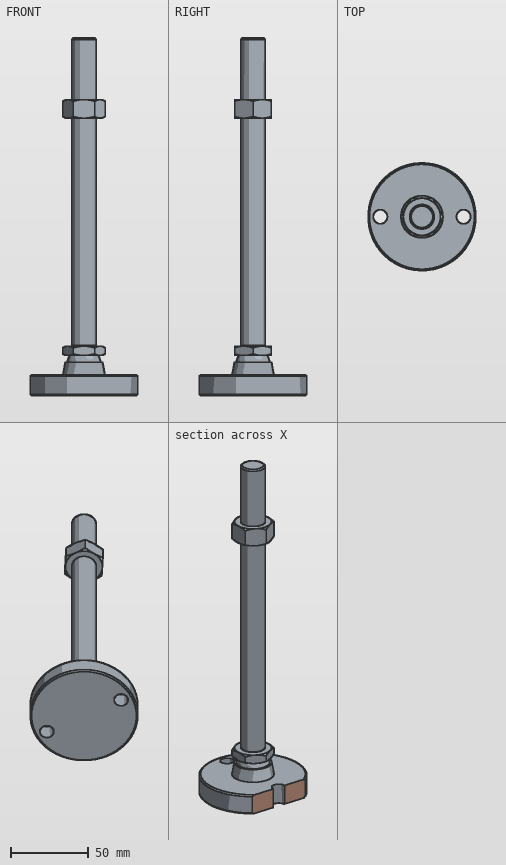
import cadquery as cq
import math

total_height = 232.0

plate_diameter = 70.0
plate_thickness = 13.5
plate_chamfer = 1.0
socket_base_diameter = 27.4
socket_top_diameter = 24.4
socket_height = 8.25
mount_hole_diameter = 9.0
mount_hole_spacing = 54.0

ball_diameter = 22.0
ball_center_z = 20.25
rod_diameter = 16.0
rod_top_chamfer = 1.0
rod_root_chamfer = 0.5
hexagon_z = 26.0
hexagon_height = 6.0

nut_z = 180.0
nut_height = 12.0

across_flats = 24.0
hex_chamfer_angle = 30.0

hexagon_top_z = hexagon_z + hexagon_height


def make_ball():
    """Ball end of the spindle, which also shapes the seat in the foot."""
    return cq.Workplane("XY").sphere(ball_diameter / 2).translate((0, 0, ball_center_z))


def make_hexagon(bottom_z, height):
    """Hexagonal prism with corners on X, its corners turned to a cone at both ends."""
    across_corners = across_flats / math.cos(math.radians(30))
    corner_radius = across_corners / 2
    flat_radius = across_flats / 2
    bevel_height = (corner_radius - flat_radius) * math.tan(math.radians(hex_chamfer_angle))
    prism = cq.Workplane("XY").polygon(6, across_corners).extrude(height)
    turned_blank = (
        cq.Workplane("XZ")
        .moveTo(0, 0)
        .lineTo(flat_radius, 0)
        .lineTo(corner_radius, bevel_height)
        .lineTo(corner_radius, height - bevel_height)
        .lineTo(flat_radius, height)
        .lineTo(0, height)
        .close()
        .revolve(360, (0, 0, 0), (0, 1, 0))
    )
    return prism.intersect(turned_blank).translate((0, 0, bottom_z))


def make_foot():
    plate = (
        cq.Workplane("XY")
        .circle(plate_diameter / 2)
        .extrude(plate_thickness)
        .faces("<Z or >Z")
        .chamfer(plate_chamfer)
    )
    socket = (
        cq.Workplane("XY", origin=(0, 0, plate_thickness))
        .circle(socket_base_diameter / 2)
        .workplane(offset=socket_height)
        .circle(socket_top_diameter / 2)
        .loft()
    )
    mount_holes = (
        cq.Workplane("XY")
        .rarray(mount_hole_spacing, 1, 2, 1)
        .circle(mount_hole_diameter / 2)
        .extrude(plate_thickness)
    )
    return plate.union(socket).cut(mount_holes).cut(make_ball())


def make_spindle():
    rod = (
        cq.Workplane("XY", origin=(0, 0, hexagon_top_z))
        .circle(rod_diameter / 2)
        .extrude(total_height - hexagon_top_z)
        .faces(">Z")
        .chamfer(rod_top_chamfer)
        .faces("<Z")
        .chamfer(rod_root_chamfer)
    )
    return make_ball().union(make_hexagon(hexagon_z, hexagon_height)).union(rod)


def make_nut():
    bore = cq.Workplane("XY", origin=(0, 0, nut_z)).circle(rod_diameter / 2).extrude(nut_height)
    return make_hexagon(nut_z, nut_height).cut(bore)


foot = make_foot()
spindle = make_spindle()
nut = make_nut()

result = cq.Compound.makeCompound([foot.val(), spindle.val(), nut.val()])